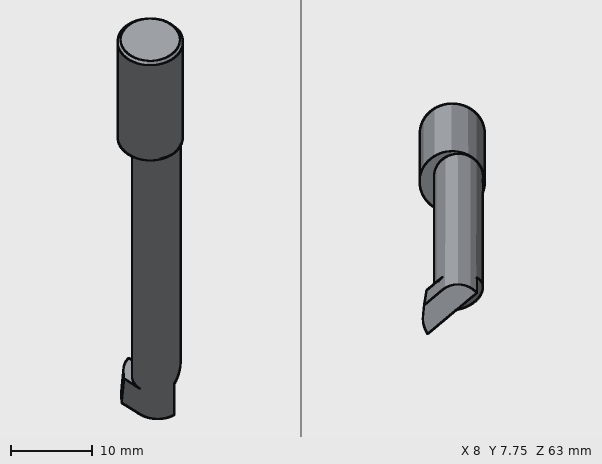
import cadquery as cq
import math

total_length = 63.0
shank_diameter = 8.0
shank_radius = shank_diameter / 2
shank_length = 17.0
shank_chamfer = 0.4
flat_depth = 0.25

neck_diameter = 6.0
neck_radius = neck_diameter / 2
neck_x = shank_radius - neck_radius

ramp_start_z = 5.6
ramp_end_z = 8.4

head_height = 5.0
tip_x = -shank_radius
relief_x = -2.8
relief_y = -2.25
relief_bulge = 0.25
heel_x = -2.0
head_lean = 0.45

front_clearance = 7.0
side_clearance = 1.7


def make_shank():
    """Chamfered round shank with a clamping flat on +Y."""
    shank = (
        cq.Workplane("XY", origin=(0, 0, total_length - shank_length))
        .circle(shank_radius)
        .extrude(shank_length)
        .faces(">Z")
        .chamfer(shank_chamfer)
    )
    flat_cutter = cq.Workplane("XY").box(
        shank_diameter, shank_diameter, total_length, centered=(True, False, False)
    )
    return shank.cut(flat_cutter.translate((0, shank_radius - flat_depth, 0)))


def make_neck():
    """Offset round neck, halved at its lower end below a sloping ramp."""
    neck = (
        cq.Workplane("XY", origin=(neck_x, 0, 0))
        .circle(neck_radius)
        .extrude(total_length - shank_length)
    )
    half_cutter = (
        cq.Workplane("YZ")
        .moveTo(0, 0)
        .lineTo(0, ramp_start_z)
        .lineTo(neck_radius, ramp_end_z)
        .lineTo(neck_radius, 0)
        .close()
        .extrude(shank_diameter, both=True)
    )
    return neck.cut(half_cutter)


def draw_head_outline(plane, lean):
    """Draw the head in plan, its free side moved towards +X by the lean."""
    return (
        plane.moveTo(neck_x, 0)
        .lineTo(tip_x + lean, 0)
        .sagittaArc((relief_x + lean, relief_y), -relief_bulge)
        .lineTo(heel_x + lean, -neck_radius)
        .lineTo(neck_x, -neck_radius)
        .close()
    )


def make_head():
    """Cutting head, tangent to the -Y side of the neck."""
    bottom = draw_head_outline(cq.Workplane("XY"), 0)
    both = draw_head_outline(bottom.workplane(offset=head_height), head_lean)
    return both.loft(ruled=True)


def make_clearance_cutter():
    """Block whose top face passes through the tip at both clearance angles."""
    block_size = 4 * shank_diameter
    tip = cq.Vector(tip_x, 0, 0)
    slope_x = math.tan(math.radians(side_clearance))
    slope_y = -math.tan(math.radians(front_clearance))
    plane = cq.Plane(origin=tip, xDir=(1, 0, slope_x), normal=(-slope_x, -slope_y, 1))
    return cq.Workplane(plane).rect(block_size, block_size).extrude(-shank_diameter)


lower_end = make_neck().union(make_head()).cut(make_clearance_cutter())
result = make_shank().union(lower_end)